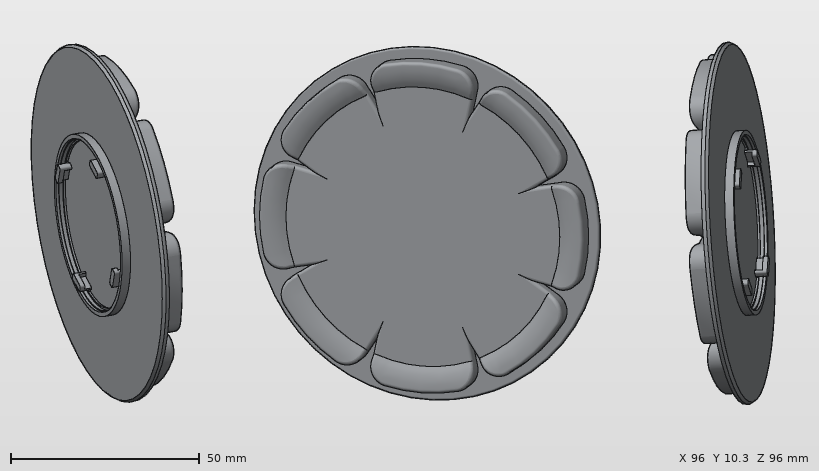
import cadquery as cq
import math


disc_radius = 48.0
disc_thickness = 2.0
front_chamfer_radial = 0.6
front_chamfer_axial = 0.9
back_fillet = 0.6

lobe_count = 8
grip_radius = 45.0
grip_height = 4.9
corner_radius = 5.4
lobe_half_angle = 13.0
wall_taper_angle = 11.8
grip_edge_fillet = 0.9
dish_rim_width = 1.0
dish_curve_radius = 11.5
dish_depth = 1.7

ring_height = 2.4
ring_outer_radius = 24.5
ring_mouth_radius = 23.3
ring_waist_radius = 23.0
ring_foot_radius = 22.6
ring_mouth_depth = 0.8
ring_foot_height = 0.6

hook_count = 4
hook_tilt = 17.5
hook_inner = 19.6
hook_outer = 21.7
hook_length = 5.6
hook_rise = 1.0
hook_corner_fillet = 0.6
hook_head_thickness = 1.3
hook_wall = 1.0
hook_foot_length = 4.5


def polar(radius, angle):
    """Point at the given radius, with the angle in degrees counter-clockwise from +X."""
    return (radius * math.cos(math.radians(angle)), radius * math.sin(math.radians(angle)))


def offset(point, distance, angle):
    """Point moved by a distance in the given direction."""
    dx, dy = polar(distance, angle)
    return (point[0] + dx, point[1] + dy)


def mirrored(point):
    """Point reflected across the X axis."""
    return (point[0], -point[1])


def turned(point, angle):
    """Point rotated about the origin by an angle in degrees."""
    return polar(math.hypot(*point), angle + math.degrees(math.atan2(point[1], point[0])))


def revolve_profile(points):
    """Solid of revolution about Y from (radius, y) points."""
    return cq.Workplane("XY").polyline(points).close().revolve(360, (0, 0), (0, 1))


def is_arc_of_radius(edge, radii):
    """True for a circular edge with one of the given radii."""
    if edge.geomType() != "CIRCLE":
        return False
    return any(math.isclose(edge.radius(), radius, rel_tol=1e-6) for radius in radii)


def make_disc():
    disc = revolve_profile([
        (0, 0),
        (disc_radius - front_chamfer_radial, 0),
        (disc_radius, front_chamfer_axial),
        (disc_radius, disc_thickness),
        (0, disc_thickness),
    ])
    return disc.edges(">Y").fillet(back_fillet)


def make_grip():
    """Lobed block with a rounded outer top edge and a shallow dish in its back."""
    pitch = 360 / lobe_count
    bisector = pitch / 2

    wall_normal = 90 + wall_taper_angle
    corner_centre = polar(grip_radius - corner_radius, lobe_half_angle)
    corner_middle = offset(corner_centre, corner_radius, (lobe_half_angle + wall_normal) / 2)
    wall_start = offset(corner_centre, corner_radius, wall_normal)

    wall_distance = math.hypot(*wall_start) * math.cos(
        math.radians(wall_normal) - math.atan2(wall_start[1], wall_start[0])
    )
    root_radius = wall_distance / math.cos(math.radians(wall_normal - bisector))

    outline = cq.Workplane("XZ", origin=(0, disc_thickness, 0)).moveTo(*polar(root_radius, -bisector))
    for index in range(lobe_count):
        axis = index * pitch
        outline = (
            outline
            .lineTo(*turned(mirrored(wall_start), axis))
            .threePointArc(
                turned(mirrored(corner_middle), axis),
                polar(grip_radius, axis - lobe_half_angle),
            )
            .threePointArc(polar(grip_radius, axis), polar(grip_radius, axis + lobe_half_angle))
            .threePointArc(turned(corner_middle, axis), turned(wall_start, axis))
        )
        if index < lobe_count - 1:
            outline = outline.lineTo(*polar(root_radius, axis + bisector))
    block = outline.close().extrude(-grip_height)

    rim_radius = grip_radius - dish_rim_width
    grip_top = disc_thickness + grip_height
    floor_y = grip_top - dish_depth
    dish_angle = math.acos(1 - dish_depth / dish_curve_radius)
    floor_radius = rim_radius - dish_curve_radius * math.sin(dish_angle)
    arc_mid_radius = rim_radius - dish_curve_radius * math.sin(dish_angle / 2)
    arc_mid_y = grip_top - dish_curve_radius * (1 - math.cos(dish_angle / 2))
    dish = (
        cq.Workplane("XY")
        .moveTo(0, floor_y)
        .lineTo(floor_radius, floor_y)
        .threePointArc((arc_mid_radius, arc_mid_y), (rim_radius, grip_top))
        .lineTo(rim_radius, grip_top + dish_depth)
        .lineTo(0, grip_top + dish_depth)
        .close()
        .revolve(360, (0, 0), (0, 1))
    )
    grip = block.cut(dish)

    upper_edges = grip.edges("not(<Y or |Y)")
    dish_radii = (floor_radius, rim_radius)
    rim = upper_edges.filter(lambda edge: not is_arc_of_radius(edge, dish_radii))
    return rim.fillet(grip_edge_fillet)


def make_ring():
    return revolve_profile([
        (ring_foot_radius, 0),
        (ring_outer_radius, 0),
        (ring_outer_radius, -ring_height),
        (ring_mouth_radius, -ring_height),
        (ring_mouth_radius, ring_mouth_depth - ring_height),
        (ring_waist_radius, ring_mouth_depth - ring_height),
        (ring_waist_radius, -ring_foot_height),
        (ring_foot_radius, -ring_foot_height),
    ])


def hook_box(width, inner, outer, height, shift=0.0):
    """Block standing on the disc's front face, across the +Z axis."""
    middle = (inner + outer) / 2
    return (
        cq.Workplane("XZ")
        .center(shift, middle)
        .rect(width, outer - inner)
        .extrude(height)
    )


def make_hook():
    """Hollow-backed block: a head carried by an outer wall and one end wall."""
    height = ring_height + hook_rise
    block = hook_box(hook_length, hook_inner, hook_outer, height).edges("|Y").fillet(hook_corner_fillet)
    undercut = hook_box(
        hook_length,
        hook_inner - hook_wall,
        hook_outer - hook_wall,
        height - hook_head_thickness,
        shift=-hook_wall,
    )
    foot = hook_box(hook_foot_length, hook_outer - hook_wall, ring_waist_radius, ring_foot_height)
    return block.cut(undercut).union(foot)


result = make_disc().union(make_grip()).union(make_ring())
hook = make_hook()
for index in range(hook_count):
    angle = hook_tilt + index * 360 / hook_count
    result = result.union(hook.rotate((0, 0, 0), (0, 1, 0), angle))